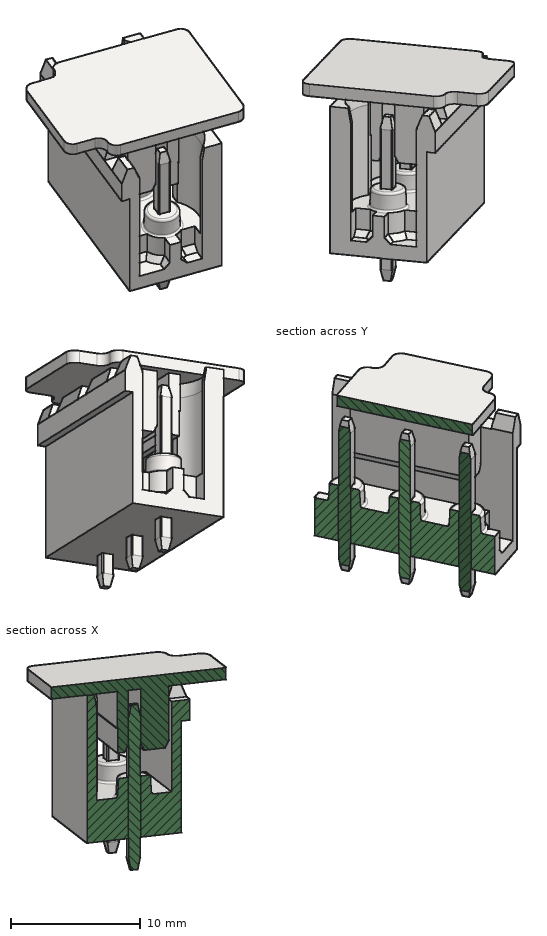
import cadquery as cq
import math

PIN_COUNT = 3
PIN_PITCH = 5.08
PIN_WIDTH = 1.0
PIN_EDGE_CHAMFER = 0.1
PIN_TIP_WIDTH = 0.58
PIN_TIP_LENGTH = 0.98
PIN_BOTTOM_Z = -2.59
PIN_TOP_Z = 10.81
PIN_POSITIONS = [(i - (PIN_COUNT - 1) / 2) * PIN_PITCH for i in range(PIN_COUNT)]

HOUSING_LENGTH = 15.24
HOUSING_HEIGHT = 12.0
FLOOR_TOP_Z = 1.22
BACK_OUTER_Y = 3.93
BACK_INNER_Y = 2.26
FRONT_INNER_Y = -3.05
FRONT_OUTER_Y = -3.91
HOUSING_END_X = HOUSING_LENGTH / 2

LEAD_IN_Z = 10.81
BACK_LEAD_IN = 0.2
HOOK_Y = -4.58
HOOK_BOTTOM_Z = 9.04
HOOK_SLOPE_Z = 10.75
HOOK_TOP_BACK_Y = -3.54
HOOK_TOP_FRONT_Y = -4.1

NOTCH_BOTTOM_WIDTH = 1.4
NOTCH_TOP_WIDTH = 1.78

BED_TOP_Z = 3.43
FOOT_SIZE = 0.5
BACK_BED_HALF_LENGTH = 6.25
FRONT_BED_HALF_LENGTH = 5.61
RIB_HALF_WIDTH = 0.48
BOSS_RADIUS = 1.6

COLLAR_TOP_Z = 4.99
COLLAR_BASE_RADIUS = 1.42
COLLAR_TOP_RADIUS = 1.37
COLLAR_FLARE = BOSS_RADIUS - COLLAR_BASE_RADIUS
COLLAR_ROUND = 0.22

RECESS_RADIUS = 3.12

CAP_THICKNESS = 1.0
CAP_WIDTH = 11.45
CAP_BACK_Y = 6.92
CAP_SHOULDER_Y = HOOK_Y
CAP_FRONT_Y = -7.59
CAP_TAB_WIDTH = 8.37
CAP_CORNER_RADIUS = 0.75
RAIL_LENGTH = 10.0
RAIL_BOTTOM_Z = 7.01
RAIL_CHAMFER_WIDTH = 0.31
RAIL_CHAMFER_HEIGHT = 0.59
FRONT_RAIL_OUTER_Y = -2.87
BACK_RAIL_OUTER_Y = 1.46
BACK_RAIL_STEP = 0.06
BACK_RAIL_STEP_Z = HOOK_BOTTOM_Z


def extrude_along_x(outline, length):
    """Extrude a YZ outline over a length centred on X = 0."""
    return cq.Workplane("YZ").polyline(outline).close().extrude(length / 2, both=True)


def pin_tip(x, base_z, direction):
    """A tapered end that points up (direction 1) or down (direction -1)."""
    return (
        cq.Workplane("XY", origin=(x, 0, base_z))
        .rect(PIN_WIDTH, PIN_WIDTH)
        .workplane(offset=direction * PIN_TIP_LENGTH)
        .rect(PIN_TIP_WIDTH, PIN_TIP_WIDTH)
        .loft()
    )


def make_pin(x):
    """A square pin with chamfered long edges and a tapered tip at both ends."""
    shaft_bottom_z = PIN_BOTTOM_Z + PIN_TIP_LENGTH
    shaft_top_z = PIN_TOP_Z - PIN_TIP_LENGTH
    shaft = (
        cq.Workplane("XY", origin=(x, 0, shaft_bottom_z))
        .rect(PIN_WIDTH, PIN_WIDTH)
        .extrude(shaft_top_z - shaft_bottom_z)
        .edges("|Z")
        .chamfer(PIN_EDGE_CHAMFER)
    )
    return shaft.union(pin_tip(x, shaft_top_z, 1)).union(pin_tip(x, shaft_bottom_z, -1))


def channel():
    """The floor and both walls, with the hook and lead-in slopes."""
    outline = [
        (BACK_OUTER_Y, 0),
        (BACK_OUTER_Y, HOUSING_HEIGHT),
        (BACK_INNER_Y + BACK_LEAD_IN, HOUSING_HEIGHT),
        (BACK_INNER_Y, LEAD_IN_Z),
        (BACK_INNER_Y, FLOOR_TOP_Z),
        (FRONT_INNER_Y, FLOOR_TOP_Z),
        (FRONT_INNER_Y, LEAD_IN_Z),
        (HOOK_TOP_BACK_Y, HOUSING_HEIGHT),
        (HOOK_TOP_FRONT_Y, HOUSING_HEIGHT),
        (HOOK_Y, HOOK_SLOPE_Z),
        (HOOK_Y, HOOK_BOTTOM_Z),
        (FRONT_OUTER_Y, HOOK_BOTTOM_Z),
        (FRONT_OUTER_Y, 0),
    ]
    return extrude_along_x(outline, HOUSING_LENGTH)


def footed_outline(half_width):
    """A symmetric outline from floor to bed top, with a sloped foot on each side."""
    foot_top_z = FLOOR_TOP_Z + FOOT_SIZE
    return [
        (half_width + FOOT_SIZE, FLOOR_TOP_Z),
        (half_width, foot_top_z),
        (half_width, BED_TOP_Z),
        (-half_width, BED_TOP_Z),
        (-half_width, foot_top_z),
        (-half_width - FOOT_SIZE, FLOOR_TOP_Z),
    ]


def bed_half(half_length, wall_y):
    """The bed between the pin row and one wall."""
    return (
        cq.Workplane("XZ")
        .polyline(footed_outline(half_length))
        .close()
        .extrude(-wall_y)
    )


def boss(x):
    """The round, footed boss and the flared collar around one pin."""
    collar_side_top_z = COLLAR_TOP_Z - COLLAR_ROUND
    flare_top_z = BED_TOP_Z + COLLAR_FLARE
    arc_share = 1 - math.sqrt(0.5)
    flare_middle = (
        COLLAR_BASE_RADIUS + COLLAR_FLARE * arc_share,
        BED_TOP_Z + COLLAR_FLARE * arc_share,
    )
    round_middle = (
        COLLAR_TOP_RADIUS - COLLAR_ROUND * arc_share,
        COLLAR_TOP_Z - COLLAR_ROUND * arc_share,
    )
    return (
        cq.Workplane("XZ", origin=(x, 0, 0))
        .moveTo(0, FLOOR_TOP_Z)
        .lineTo(BOSS_RADIUS + FOOT_SIZE, FLOOR_TOP_Z)
        .lineTo(BOSS_RADIUS, FLOOR_TOP_Z + FOOT_SIZE)
        .lineTo(BOSS_RADIUS, BED_TOP_Z)
        .threePointArc(flare_middle, (COLLAR_BASE_RADIUS, flare_top_z))
        .lineTo(COLLAR_TOP_RADIUS, collar_side_top_z)
        .threePointArc(round_middle, (COLLAR_TOP_RADIUS - COLLAR_ROUND, COLLAR_TOP_Z))
        .lineTo(0, COLLAR_TOP_Z)
        .close()
        .revolve(360, (0, 0, 0), (0, 1, 0))
    )


def back_recess(x):
    """Cutter for the half-round recess behind one pin, flared at the wall top."""
    return (
        cq.Workplane("XZ", origin=(x, 0, 0))
        .polyline([
            (0, BED_TOP_Z),
            (RECESS_RADIUS, BED_TOP_Z),
            (RECESS_RADIUS, LEAD_IN_Z),
            (RECESS_RADIUS + BACK_LEAD_IN, HOUSING_HEIGHT),
            (0, HOUSING_HEIGHT),
        ])
        .close()
        .revolve(180, (0, 0, 0), (0, 1, 0))
    )


def front_notch(x):
    """Cutter for the tapered notch through the front wall's top."""
    return (
        cq.Workplane("XZ", origin=(x, 0, 0))
        .polyline([
            (-NOTCH_BOTTOM_WIDTH / 2, HOOK_SLOPE_Z),
            (NOTCH_BOTTOM_WIDTH / 2, HOOK_SLOPE_Z),
            (NOTCH_TOP_WIDTH / 2, HOUSING_HEIGHT),
            (-NOTCH_TOP_WIDTH / 2, HOUSING_HEIGHT),
        ])
        .close()
        .extrude(-HOOK_Y)
    )


def make_housing(pin_bodies):
    body = channel()
    for x in PIN_POSITIONS:
        body = body.cut(back_recess(x)).cut(front_notch(x))
    body = body.union(bed_half(BACK_BED_HALF_LENGTH, BACK_INNER_Y))
    body = body.union(bed_half(FRONT_BED_HALF_LENGTH, FRONT_INNER_Y))
    body = body.union(extrude_along_x(footed_outline(RIB_HALF_WIDTH), HOUSING_LENGTH))
    for x in PIN_POSITIONS:
        body = body.union(boss(x))
    for pin in pin_bodies:
        body = body.cut(pin)
    return body


def cap_plate():
    """The rounded plate with a narrower tab at the front."""
    main_depth = CAP_BACK_Y - CAP_SHOULDER_Y
    tab_depth = CAP_BACK_Y - CAP_FRONT_Y
    plate = cq.Workplane("XY", origin=(0, CAP_BACK_Y - main_depth / 2, HOUSING_HEIGHT))
    plate = plate.rect(CAP_WIDTH, main_depth).extrude(CAP_THICKNESS)
    tab = cq.Workplane("XY", origin=(0, CAP_BACK_Y - tab_depth / 2, HOUSING_HEIGHT))
    tab = tab.rect(CAP_TAB_WIDTH, tab_depth).extrude(CAP_THICKNESS)
    return plate.union(tab).edges("|Z").fillet(CAP_CORNER_RADIUS)


def front_rail():
    inner_y = -PIN_WIDTH / 2
    chamfer_top_z = RAIL_BOTTOM_Z + RAIL_CHAMFER_HEIGHT
    outline = [
        (inner_y, HOUSING_HEIGHT),
        (inner_y, chamfer_top_z),
        (inner_y - RAIL_CHAMFER_WIDTH, RAIL_BOTTOM_Z),
        (FRONT_RAIL_OUTER_Y + RAIL_CHAMFER_WIDTH, RAIL_BOTTOM_Z),
        (FRONT_RAIL_OUTER_Y, chamfer_top_z),
        (FRONT_RAIL_OUTER_Y, HOUSING_HEIGHT),
    ]
    return extrude_along_x(outline, RAIL_LENGTH)


def back_rail():
    inner_y = PIN_WIDTH / 2
    lower_outer_y = BACK_RAIL_OUTER_Y - BACK_RAIL_STEP
    outline = [
        (inner_y, HOUSING_HEIGHT),
        (inner_y, RAIL_BOTTOM_Z + RAIL_CHAMFER_HEIGHT),
        (inner_y + RAIL_CHAMFER_WIDTH, RAIL_BOTTOM_Z),
        (lower_outer_y, RAIL_BOTTOM_Z),
        (lower_outer_y, BACK_RAIL_STEP_Z),
        (BACK_RAIL_OUTER_Y, BACK_RAIL_STEP_Z),
        (BACK_RAIL_OUTER_Y, HOUSING_HEIGHT),
    ]
    return extrude_along_x(outline, RAIL_LENGTH)


pins = [make_pin(x) for x in PIN_POSITIONS]
housing = make_housing(pins)
cap = cap_plate().union(front_rail()).union(back_rail())

result = cq.Compound.makeCompound([housing.val(), cap.val(), *[pin.val() for pin in pins]])